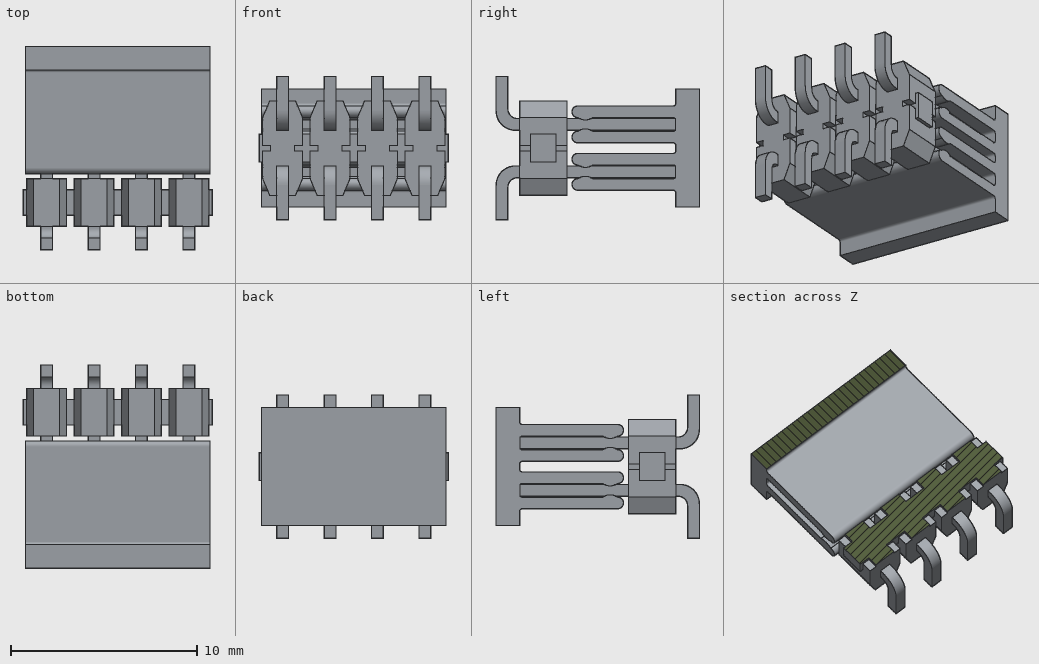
import cadquery as cq


OVERALL_LENGTH = 10.92
COLUMNS = 4
PITCH = 2.54
PIN_SIZE = 0.64
TAIL_REACH = 1.27
TAIL_SPAN = 7.7
BEND_INNER_RADIUS = 0.5
BEND_OUTER_RADIUS = 1.05

BLOCK_WIDTH = 2.14
BLOCK_DEPTH = 2.55
BLOCK_HEIGHT = 5.07
BLOCK_TOP_WIDTH = 1.39
BEVEL_HEIGHT = 0.9
NOTCH_HEIGHT = 0.3
NOTCH_DEPTH = 0.43
BAR_LENGTH = 10.16
BAR_DEPTH = 1.38
BAR_HEIGHT = 1.5

CAP_WIDTH = 9.92
CAP_HEIGHT = 6.34
CAP_DEPTH = 6.85
PLATE_THICKNESS = 1.28
PRONG_THICKNESS = 0.63
SLOT_HEIGHT = 0.72
BUMP_LENGTH = 0.81
BUMP_HEIGHT = 0.12
ROOT_FILLET = 0.13

SIDES = (1, -1)
ROW_Z = PITCH / 2
FIRST_COLUMN_X = -PITCH * (COLUMNS - 1) / 2
COLUMN_XS = [FIRST_COLUMN_X + i * PITCH for i in range(COLUMNS)]
HOUSING_FRONT_Y = -BLOCK_DEPTH / 2
TAIL_OUTER_Y = HOUSING_FRONT_Y - TAIL_REACH
CAP_BACK_Y = TAIL_OUTER_Y + OVERALL_LENGTH
PLATE_FRONT_Y = CAP_BACK_Y - PLATE_THICKNESS
PRONG_TIP_Y = CAP_BACK_Y - CAP_DEPTH


def make_block(x):
    """Eight-sided housing block of one column, notched at mid-height on both sides."""
    half_width = BLOCK_WIDTH / 2
    half_top = BLOCK_TOP_WIDTH / 2
    half_height = BLOCK_HEIGHT / 2
    shoulder = half_height - BEVEL_HEIGHT
    outline = [
        (half_width, -shoulder), (half_width, shoulder),
        (half_top, half_height), (-half_top, half_height),
        (-half_width, shoulder), (-half_width, -shoulder),
        (-half_top, -half_height), (half_top, -half_height),
    ]
    block = cq.Workplane("XZ").polyline(outline).close().extrude(BLOCK_DEPTH / 2, both=True)
    notches = (
        cq.Workplane("XY")
        .pushPoints([(-half_width, 0), (half_width, 0)])
        .box(2 * NOTCH_DEPTH, BLOCK_DEPTH, NOTCH_HEIGHT)
    )
    return block.cut(notches).translate((x, 0, 0))


def make_pin(x, side):
    """Square pin from the cap plate through the housing, its tail bent outward (side 1 up, -1 down)."""
    inner_z = ROW_Z - PIN_SIZE / 2
    outer_z = ROW_Z + PIN_SIZE / 2
    tail_inner_y = TAIL_OUTER_Y + PIN_SIZE
    pin = (
        cq.Workplane("YZ")
        .moveTo(PLATE_FRONT_Y, inner_z)
        .lineTo(TAIL_OUTER_Y + BEND_OUTER_RADIUS, inner_z)
        .radiusArc((TAIL_OUTER_Y, inner_z + BEND_OUTER_RADIUS), BEND_OUTER_RADIUS)
        .lineTo(TAIL_OUTER_Y, TAIL_SPAN / 2)
        .lineTo(tail_inner_y, TAIL_SPAN / 2)
        .lineTo(tail_inner_y, outer_z + BEND_INNER_RADIUS)
        .radiusArc((tail_inner_y + BEND_INNER_RADIUS, outer_z), -BEND_INNER_RADIUS)
        .lineTo(PLATE_FRONT_Y, outer_z)
        .close()
        .extrude(PIN_SIZE / 2, both=True)
        .translate((x, 0, 0))
    )
    return pin if side > 0 else pin.mirror("XY")


def make_pins():
    """Both rows of pins in all the columns."""
    return [make_pin(x, side) for x in COLUMN_XS for side in SIDES]


def make_header(pins):
    """Housing blocks on their cross bar, in one piece with the pins."""
    header = cq.Workplane("XY").box(BAR_LENGTH, BAR_DEPTH, BAR_HEIGHT)
    for x in COLUMN_XS:
        header = header.union(make_block(x))
    for pin in pins:
        header = header.union(pin)
    return header


def make_prong(row_side, slot_side):
    """Round-nosed prong on one side of a row's slot, with a gripping bump on its slot face.

    The outline is drawn with the slot above the prong, its slot face at local z = 0.
    """
    nose_radius = PRONG_THICKNESS / 2
    nose_y = PRONG_TIP_Y + nose_radius
    bump_end_y = nose_y + BUMP_LENGTH
    prong = (
        cq.Workplane("YZ")
        .moveTo(PLATE_FRONT_Y, 0)
        .lineTo(bump_end_y, 0)
        .threePointArc((nose_y + BUMP_LENGTH / 2, BUMP_HEIGHT), (nose_y, 0))
        .threePointArc((PRONG_TIP_Y, -nose_radius), (nose_y, -PRONG_THICKNESS))
        .lineTo(PLATE_FRONT_Y, -PRONG_THICKNESS)
        .close()
        .extrude(CAP_WIDTH / 2, both=True)
    )
    if slot_side > 0:
        prong = prong.mirror("XY")
    return prong.translate((0, 0, row_side * ROW_Z + slot_side * SLOT_HEIGHT / 2))


def make_cap(pins):
    """Cap plate with a pair of prongs gripping each row, relieved where the pins pass."""
    cap = cq.Workplane("XY").box(CAP_WIDTH, PLATE_THICKNESS, CAP_HEIGHT)
    cap = cap.translate((0, CAP_BACK_Y - PLATE_THICKNESS / 2, 0))
    for row_side in SIDES:
        for slot_side in SIDES:
            cap = cap.union(make_prong(row_side, slot_side))

    root_half_height = CAP_HEIGHT / 2 - ROOT_FILLET
    roots = cq.selectors.BoxSelector(
        (-CAP_WIDTH, PLATE_FRONT_Y - ROOT_FILLET, -root_half_height),
        (CAP_WIDTH, PLATE_FRONT_Y + ROOT_FILLET, root_half_height),
    )
    cap = cap.edges("|X").edges(roots).fillet(ROOT_FILLET)

    for pin in pins:
        cap = cap.cut(pin)
    return cap


header_pins = make_pins()
header = make_header(header_pins)
cap = make_cap(header_pins)

result = cq.Compound.makeCompound([header.solids().val(), cap.solids().val()])